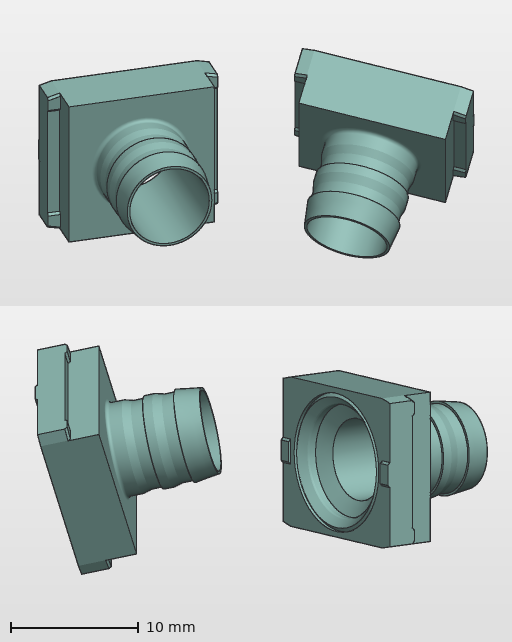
import cadquery as cq

FLANGE_LENGTH = 4.71
FLANGE_HEIGHT = 11.9
OVERALL_WIDTH = 13.9
WING_WIDTH = 1.0
WING_LENGTH = 2.21
WING_END_DROP = 0.25

STEP = 0.2
TAB_HALF_HEIGHT = 1.0
LUG_INNER_Z = 4.45

BARB_RADIUS = 3.75
GROOVE_RADIUS = 3.56
TIP_RADIUS = 3.46
ROOT_FILLET = 0.3
NECK_END = 1.3
FIRST_GROOVE_START = 2.0
MIDDLE_BARB_START = 2.96
MIDDLE_BARB_END = 3.77
SECOND_GROOVE_START = 4.52
TIP_BARB_START = 5.48
BARB_LENGTH = 7.49

RING_RADIUS = 5.5
RING_LENGTH = 1.35
LEAD_RADIUS = 5.18
LEAD_LENGTH = 0.68
SEAT_RADIUS = 4.5
SEAT_FILLET = 0.22

BORE_RADIUS = 3.25
BORE_START = 2.1

half_height = FLANGE_HEIGHT / 2
half_width = OVERALL_WIDTH / 2
core_half_width = half_width - WING_WIDTH
ring_bevel = RING_RADIUS - LEAD_RADIUS
total_length = FLANGE_LENGTH + BARB_LENGTH


def make_core():
    """Rectangular flange between the two wings."""
    return cq.Workplane("XY").box(
        FLANGE_LENGTH, 2 * core_half_width, FLANGE_HEIGHT, centered=(False, True, True)
    )


def make_wing():
    """Wing on the +Y side, with sloping ends."""
    outer_z = half_height - WING_END_DROP
    return (
        cq.Workplane("YZ")
        .polyline([
            (core_half_width, -half_height),
            (half_width, -outer_z),
            (half_width, outer_z),
            (core_half_width, half_height),
        ])
        .close()
        .extrude(WING_LENGTH)
    )


def make_tab():
    """Bevelled tab on the front of the +Y wing."""
    return (
        cq.Workplane("XZ", origin=(0, half_width, 0))
        .polyline([
            (0, -TAB_HALF_HEIGHT),
            (-STEP, STEP - TAB_HALF_HEIGHT),
            (-STEP, TAB_HALF_HEIGHT - STEP),
            (0, TAB_HALF_HEIGHT),
        ])
        .close()
        .extrude(WING_WIDTH)
    )


def lug_section(y, end_z):
    """Closed lug outline in the plane at y, ending at end_z."""
    return cq.Wire.makePolygon(
        [
            cq.Vector(WING_LENGTH, y, LUG_INNER_Z),
            cq.Vector(WING_LENGTH + STEP, y, LUG_INNER_Z + STEP),
            cq.Vector(WING_LENGTH + STEP, y, end_z - STEP),
            cq.Vector(WING_LENGTH, y, end_z),
        ],
        close=True,
    )


def make_lug():
    """Bevelled lug behind the upper end of the +Y wing, its end following the slope."""
    inner = lug_section(core_half_width, half_height)
    outer = lug_section(half_width, half_height - WING_END_DROP)
    return cq.Workplane(obj=cq.Solid.makeLoft([inner, outer], True))


def make_barb():
    """Solid hose barb, with a concave fillet where it leaves the flange."""
    back = FLANGE_LENGTH
    fillet_mid = ROOT_FILLET * (1 - 0.5 ** 0.5)
    return (
        cq.Workplane("XY")
        .moveTo(back, 0)
        .lineTo(back, BARB_RADIUS + ROOT_FILLET)
        .threePointArc((back + fillet_mid, BARB_RADIUS + fillet_mid), (back + ROOT_FILLET, BARB_RADIUS))
        .lineTo(back + NECK_END, BARB_RADIUS)
        .lineTo(back + FIRST_GROOVE_START, GROOVE_RADIUS)
        .lineTo(back + MIDDLE_BARB_START, GROOVE_RADIUS)
        .lineTo(back + MIDDLE_BARB_START, BARB_RADIUS)
        .lineTo(back + MIDDLE_BARB_END, BARB_RADIUS)
        .lineTo(back + SECOND_GROOVE_START, GROOVE_RADIUS)
        .lineTo(back + TIP_BARB_START, GROOVE_RADIUS)
        .lineTo(back + TIP_BARB_START, BARB_RADIUS)
        .lineTo(total_length, TIP_RADIUS)
        .lineTo(total_length, 0)
        .close()
        .revolve(360, (0, 0), (1, 0))
    )


def make_bore():
    """Cutter for the through bore: recess for the seat ring, cone and plain bore."""
    return (
        cq.Workplane("XY")
        .polyline([
            (0, 0),
            (0, RING_RADIUS),
            (RING_LENGTH, RING_RADIUS),
            (RING_LENGTH, SEAT_RADIUS),
            (BORE_START, BORE_RADIUS),
            (total_length, BORE_RADIUS),
            (total_length, 0),
        ])
        .close()
        .revolve(360, (0, 0), (1, 0))
    )


def make_fitting():
    """Flange with wings, tabs, lugs and hose barb, bored through."""
    upper_lug = make_lug()
    side = make_wing().union(make_tab()).union(upper_lug).union(upper_lug.mirror("XY"))
    body = make_core().union(side).union(side.mirror("XZ")).union(make_barb())
    return body.cut(make_bore())


def make_seat_ring():
    """Ring filling the recess: bevelled outer front edge, lead-in cone and rounded seat inside."""
    ring = (
        cq.Workplane("XY")
        .polyline([
            (0, LEAD_RADIUS),
            (ring_bevel, RING_RADIUS),
            (RING_LENGTH, RING_RADIUS),
            (RING_LENGTH, SEAT_RADIUS),
            (LEAD_LENGTH, SEAT_RADIUS),
        ])
        .close()
        .revolve(360, (0, 0), (1, 0))
    )
    seat_edge = cq.selectors.NearestToPointSelector((LEAD_LENGTH, 0, 0))
    return ring.edges("%CIRCLE").edges(seat_edge).fillet(SEAT_FILLET)


fitting = make_fitting()
seat_ring = make_seat_ring()

result = cq.Compound.makeCompound([fitting.val(), seat_ring.val()])